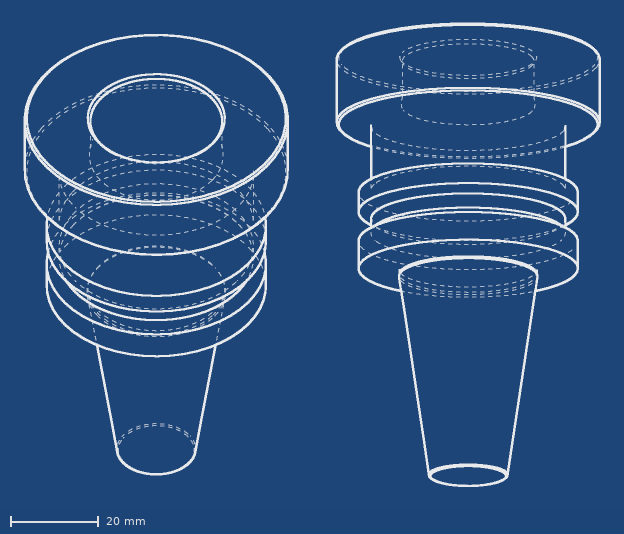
import cadquery as cq
import math

total_length = 98.8

head_diameter = 60.0
head_radius = head_diameter / 2
head_height = 15.8
head_chamfer = 0.5

body_radius = 22.1
body_fillet = 0.6

flange_radius = 25.0
flange_top_depth = 31.8
flange_bottom_depth = 49.8
upper_rim_height = 4.6
lower_rim_height = 6.5
groove_flank_angle = 30.0
groove_corner_fillet = 0.3

relief_radius = 15.6
relief_fillet = 0.6
relief_height = 1.9
relief_flare_height = 0.5

taper_top_radius = 15.8
taper_ratio = 7 / 24
tip_chamfer = 0.3

bore_radius = 15.0
bore_mouth_widening = 0.6
bore_mouth_height = 0.9
bore_depth = 12.0
bore_wall_depth = 9.7
undercut_radius = 15.2
undercut_flare_height = 0.8
floor_fillet = 0.8

head_bottom = total_length - head_height
flange_top = total_length - flange_top_depth
flange_bottom = total_length - flange_bottom_depth
groove_flank_height = (flange_radius - body_radius) * math.tan(math.radians(groove_flank_angle))
groove_top = flange_top - upper_rim_height
groove_bottom = flange_bottom + lower_rim_height
taper_top = flange_bottom - relief_height
tip_radius = taper_top_radius - taper_top * taper_ratio / 2
bore_floor = total_length - bore_depth
undercut_top = total_length - bore_wall_depth

match_tolerance = 0.001


def turned(points):
    """Solid of revolution about Z from a closed (radius, height) outline."""
    return cq.Workplane("XZ").polyline(points).close().revolve(360, (0, 0, 0), (0, 1, 0))


def ring(solid, radius, height):
    """Circular edge of the solid with a given radius at a given height."""
    circles = solid.edges("%CIRCLE")
    return circles.filter(
        lambda edge: math.isclose(edge.radius(), radius, abs_tol=match_tolerance)
        and math.isclose(edge.startPoint().z, height, abs_tol=match_tolerance)
    )


def make_holder():
    holder = turned([
        (0, 0),
        (tip_radius, 0),
        (taper_top_radius, taper_top),
        (relief_radius, taper_top + relief_flare_height),
        (relief_radius, flange_bottom),
        (flange_radius, flange_bottom),
        (flange_radius, groove_bottom),
        (body_radius, groove_bottom + groove_flank_height),
        (body_radius, groove_top - groove_flank_height),
        (flange_radius, groove_top),
        (flange_radius, flange_top),
        (body_radius, flange_top),
        (body_radius, head_bottom),
        (head_radius, head_bottom),
        (head_radius, total_length),
        (0, total_length),
    ])
    for height in (head_bottom, total_length):
        holder = ring(holder, head_radius, height).chamfer(head_chamfer)
    for height in (head_bottom, flange_top):
        holder = ring(holder, body_radius, height).fillet(body_fillet)
    groove_corner = ring(holder, body_radius, groove_bottom + groove_flank_height)
    holder = groove_corner.fillet(groove_corner_fillet)
    holder = ring(holder, relief_radius, flange_bottom).fillet(relief_fillet)
    return ring(holder, tip_radius, 0).chamfer(tip_chamfer)


def make_bore():
    bore = turned([
        (0, bore_floor),
        (undercut_radius, bore_floor),
        (undercut_radius, undercut_top - undercut_flare_height),
        (bore_radius, undercut_top),
        (bore_radius, total_length - bore_mouth_height),
        (bore_radius + bore_mouth_widening, total_length),
        (0, total_length),
    ])
    return ring(bore, undercut_radius, bore_floor).fillet(floor_fillet)


result = make_holder().cut(make_bore())